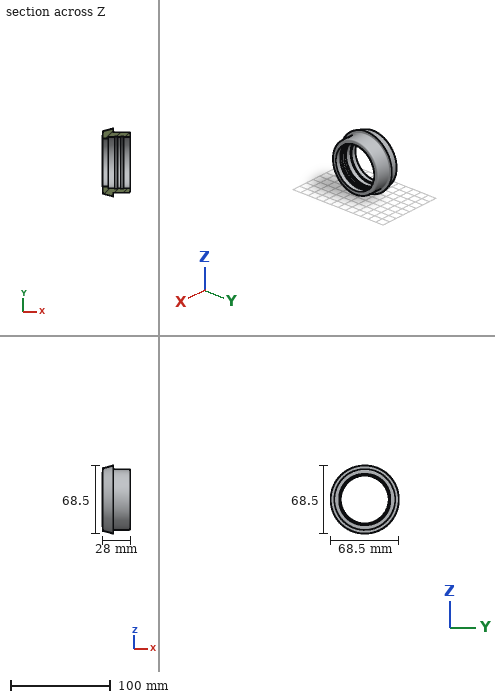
import cadquery as cq
import math

total_length = 28.0
face_rim_x = 0.6
flange_back_x = 11.0
lip_length = 6.0
groove_starts = (12.5, 18.5)
groove_length = 3.0

face_inner_diameter = 48.8
face_rim_diameter = 63.0
flange_diameter = 68.5
sleeve_diameter = 61.0
lip_diameter = 47.8
bore_diameter = 51.0
groove_diameter = 52.0

neck_fillet = 0.8
sleeve_end_fillet = 1.5
groove_wall_tilt = 30.0


def make_body():
    """Flange with a shallow conical face and a flared rim, followed by a straight sleeve."""
    sleeve_radius = sleeve_diameter / 2
    return (
        cq.Workplane("XY")
        .moveTo(0, 0)
        .lineTo(0, face_inner_diameter / 2)
        .lineTo(face_rim_x, face_rim_diameter / 2)
        .lineTo(flange_back_x, flange_diameter / 2)
        .lineTo(flange_back_x, sleeve_radius + neck_fillet)
        .radiusArc((flange_back_x + neck_fillet, sleeve_radius), -neck_fillet)
        .lineTo(total_length - sleeve_end_fillet, sleeve_radius)
        .radiusArc((total_length, sleeve_radius - sleeve_end_fillet), sleeve_end_fillet)
        .lineTo(total_length, 0)
        .close()
        .revolve(360, (0, 0, 0), (1, 0, 0))
    )


def make_bore():
    """Stepped bore: a narrow front lip, then a wider bore through to the far end."""
    lip_radius = lip_diameter / 2
    bore_radius = bore_diameter / 2
    return (
        cq.Workplane("XY")
        .moveTo(0, 0)
        .lineTo(0, lip_radius)
        .lineTo(lip_length, lip_radius)
        .lineTo(lip_length, bore_radius)
        .lineTo(total_length, bore_radius)
        .lineTo(total_length, 0)
        .close()
        .revolve(360, (0, 0, 0), (1, 0, 0))
    )


def make_groove(start_x):
    """Ring groove in the bore with a square front wall and a steep conical back wall."""
    end_x = start_x + groove_length
    bore_radius = bore_diameter / 2
    groove_radius = groove_diameter / 2
    wall_run = (groove_radius - bore_radius) * math.tan(math.radians(groove_wall_tilt))
    return (
        cq.Workplane("XY")
        .moveTo(start_x, 0)
        .lineTo(start_x, groove_radius)
        .lineTo(end_x - wall_run, groove_radius)
        .lineTo(end_x, bore_radius)
        .lineTo(end_x, 0)
        .close()
        .revolve(360, (0, 0, 0), (1, 0, 0))
    )


result = make_body().cut(make_bore())
for groove_start in groove_starts:
    result = result.cut(make_groove(groove_start))